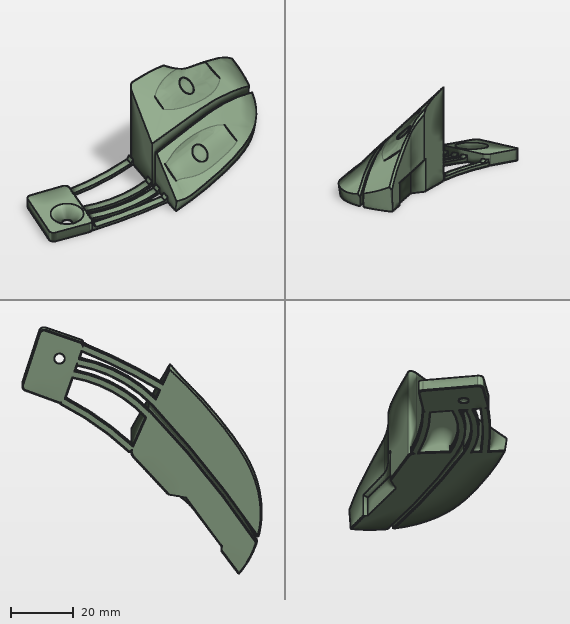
import cadquery as cq

bottom_chamfer = 0.3

plate_corners = [(-7.7, 12.9), (9.5, 0.7), (0.9, -11.5), (-15.8, 0.9)]
plate_height = 3.9
plate_corner_radius = 1.6
screw_hole_diameter = 3.3
countersink_diameter = 10.5
countersink_angle = 90

strip_height = 1.3
strip_width = 2.5
ramp_size = 1.0
ramp_root = 1.5
strip_paths = [
    ((-7.3, 11.6), (-2.2, 23.6), (1.4, 37.5)),
    ((0.4, 6.5), (8.6, 18.3), (12.2, 31.6)),
    ((4.0, 4.2), (11.8, 15.3), (16.3, 29.7)),
    ((7.9, 1.3), (15.4, 14.5), (21.2, 27.1)),
]

crest_x = 0
crest_curve = [
    (15.3, 31.2), (30.6, 31.3), (40.8, 30.9), (48.9, 30.5), (57.9, 28.6), (73.9, 22.2), (85.6, 16.8), (93.7, 10.2)
]
foot_x = 30.6
foot_curve = [
    (15.3, 2.5), (22.8, 0.9), (27.5, -0.2), (34.6, 0.8), (48.9, 2.0), (65.7, 1.8), (82.5, -4.6), (93.7, -12.2)
]
stock_height = 40.8

back_y = 90.1
outer_wall_points = [
    (5.6, back_y), (14.1, 86.2), (21.2, 79.9), (27.8, 66.7), (29.3, 49.9), (27.5, 29.5), (24.7, 15.3)
]
outer_draft = 8
beyond_left = -10.2
beyond_right = 40.8
beyond_back = 93.7
left_blade_front = ((0.1, 37.9), (13.4, 30.0))
right_blade_front = ((15.0, 29.5), (26.7, 22.8))
front_corner_radius = 3.1
top_edge_chamfer = 1.0

dish_depth = 0.7
dish_half_width = 5.3
dish_floor_diameter = 5.9
dish_floor_depth = 0.8

recess_floor_x = 6.3
recess_front_y = 60.1
recess_back_y = 79.8
recess_height = 6.6
recess_flare = recess_floor_x
recess_bottom = -1


def make_plate():
    """Rounded four-sided plate with a countersunk screw hole at the origin."""
    return (
        cq.Workplane("XY")
        .polyline(plate_corners).close()
        .extrude(plate_height)
        .edges("|Z").fillet(plate_corner_radius)
        .faces("<Z").chamfer(bottom_chamfer)
        .faces(">Z").workplane(origin=(0, 0, plate_height))
        .cskHole(screw_hole_diameter, countersink_diameter, countersink_angle)
    )


def make_sloping_stock():
    """Block under the ruled top, reaching well below the underside of the part."""
    crest = cq.Edge.makeSpline([cq.Vector(crest_x, y, z) for y, z in crest_curve])
    foot = cq.Edge.makeSpline([cq.Vector(foot_x, y, z) for y, z in foot_curve])
    top = cq.Face.makeRuledSurface(crest, foot)
    return cq.Workplane(cq.Solid.extrudeLinear(top, cq.Vector(0, 0, -2 * stock_height)))


def make_outer_form():
    """Drafted outer wall shared by both blades, open past the left and front."""
    return (
        cq.Workplane("XY")
        .moveTo(beyond_left, back_y)
        .lineTo(*outer_wall_points[0])
        .spline(outer_wall_points[1:], includeCurrent=True)
        .lineTo(beyond_left, outer_wall_points[-1][1])
        .close()
        .extrude(stock_height, taper=-outer_draft)
    )


def make_left_blade_column():
    """Upright column with the left, front and right walls of the left blade."""
    front_corner = cq.selectors.NearestToPointSelector((*left_blade_front[0], stock_height / 2))
    return (
        cq.Workplane("XY")
        .moveTo(5.4, beyond_back)
        .lineTo(5.0, 65.7)
        .threePointArc((4.3, 61.9), (2.4, 57.9))
        .lineTo(*left_blade_front[0])
        .lineTo(*left_blade_front[1])
        .threePointArc((16.2, 64.2), (16.1, 84.8))
        .threePointArc((15.8, 85.8), (14.9, 86.8))
        .lineTo(12.2, beyond_back)
        .close()
        .extrude(stock_height)
        .edges(front_corner).fillet(front_corner_radius)
        .faces("<Z").chamfer(bottom_chamfer)
    )


def make_right_blade_column():
    """Upright column with the left and front walls of the right blade."""
    return (
        cq.Workplane("XY")
        .moveTo(16.9, beyond_back)
        .threePointArc((17.4, 68.8), right_blade_front[0])
        .lineTo(*right_blade_front[1])
        .lineTo(beyond_right, right_blade_front[1][1])
        .lineTo(beyond_right, beyond_back)
        .close()
        .extrude(stock_height)
        .faces("<Z").chamfer(bottom_chamfer)
    )


def make_blade(column, edge_box):
    """Blade under the sloping top; the top edges centred in edge_box are chamfered."""
    top_edges = cq.selectors.BoxSelector(*edge_box)
    blade = make_sloping_stock().intersect(column)
    return blade.edges(top_edges).chamfer(top_edge_chamfer).intersect(make_outer_form())


def make_dish(center, heading, pitch, slope, half_length, end_drop):
    """Cutter for a shallow oval dish with a round flat floor, laid on the sloping top.

    heading turns the dish within the top, pitch and slope tilt it along Y and X.
    end_drop is how far the dish bends down (or up, if negative) at its ends.
    """
    radius = (dish_half_width**2 + dish_depth**2) / (2 * dish_depth)
    end_radius = radius + end_drop
    oval = (
        cq.Workplane("XY")
        .moveTo(0, -half_length)
        .lineTo(end_radius, -half_length)
        .threePointArc((radius, 0), (end_radius, half_length))
        .lineTo(0, half_length)
        .close()
        .revolve(360, (0, 0, 0), (0, 1, 0))
        .translate((0, 0, radius - dish_depth))
    )
    floor = (
        cq.Workplane("XY", origin=(0, 0, -dish_floor_depth))
        .circle(dish_floor_diameter / 2)
        .extrude(dish_floor_depth)
    )
    return (
        oval.union(floor)
        .rotate((0, 0, 0), (0, 0, 1), heading)
        .rotate((0, 0, 0), (1, 0, 0), pitch)
        .rotate((0, 0, 0), (0, 1, 0), slope)
        .translate(center)
    )


def recess_section(growth):
    """Corners of the recess outline in (y, z), enlarged by growth."""
    front = recess_front_y - growth
    back = recess_back_y + growth
    top = recess_height + growth
    return [(front, recess_bottom), (back, recess_bottom), (back, top), (front, top)]


def make_recess():
    """Cutter for the recess, open to the left and to the underside."""
    return (
        cq.Workplane("YZ")
        .polyline(recess_section(recess_flare)).close()
        .workplane(offset=recess_floor_x)
        .polyline(recess_section(0)).close()
        .loft(ruled=True)
    )


def make_strip(points, height):
    """Bar of the given height swept along an arc through three points."""
    start, middle, end = points
    path = cq.Workplane("XY").moveTo(*start).threePointArc(middle, end)
    tangent = path.val().tangentAt(0)
    across = cq.Vector(-tangent.y, tangent.x, 0)
    half_width = strip_width / 2
    return (
        cq.Workplane(cq.Plane(origin=(*start, 0), xDir=across, normal=tangent))
        .moveTo(-half_width, height)
        .lineTo(-half_width, bottom_chamfer)
        .lineTo(bottom_chamfer - half_width, 0)
        .lineTo(half_width - bottom_chamfer, 0)
        .lineTo(half_width, bottom_chamfer)
        .lineTo(half_width, height)
        .close()
        .sweep(path)
    )


def make_ramp_bar(start, end):
    """Bar along a wall, sloping down on the left when going from start to end."""
    along = cq.Vector(end[0] - start[0], end[1] - start[1], 0)
    outward = cq.Vector(-along.y, along.x, 0)
    ramp_top = strip_height + ramp_size
    return (
        cq.Workplane(cq.Plane(origin=(*start, 0), xDir=outward, normal=along))
        .moveTo(-ramp_root, 0)
        .lineTo(ramp_size, 0)
        .lineTo(ramp_size, strip_height)
        .lineTo(0, ramp_top)
        .lineTo(-ramp_root, ramp_top)
        .close()
        .extrude(along.Length)
    )


def make_flexures():
    """Strips with a ramp where each one meets the plate and its blade."""
    ramp_bars = [
        make_ramp_bar(plate_corners[0], plate_corners[1]),
        make_ramp_bar(left_blade_front[1], left_blade_front[0]),
        make_ramp_bar(right_blade_front[1], right_blade_front[0]),
    ]
    flexures = cq.Workplane("XY")
    for points in strip_paths:
        flexures = flexures.add(make_strip(points, strip_height))
        tall_strip = make_strip(points, strip_height + ramp_size)
        for bar in ramp_bars:
            flexures = flexures.add(tall_strip.intersect(bar))
    return flexures.combine()


left_blade = make_blade(make_left_blade_column(), ((4.1, 60.1, 10.2), (6.1, 83.5, 26.5)))
left_blade = left_blade.cut(make_recess())
left_dish = make_dish(
    center=(9.2, 59.2, 20.0), heading=-5, pitch=-10, slope=40.5, half_length=16.3, end_drop=0.6
)
left_blade = left_blade.cut(left_dish)

right_blade = make_blade(make_right_blade_column(), ((14.3, 45.8, 2), (18.3, 71.3, 20.4)))
right_dish = make_dish(
    center=(23.2, 44.0, 8.6), heading=-5, pitch=1.5, slope=42.5, half_length=15.3, end_drop=-0.1
)
right_blade = right_blade.cut(right_dish)

result = make_plate().union(left_blade).union(right_blade).union(make_flexures())